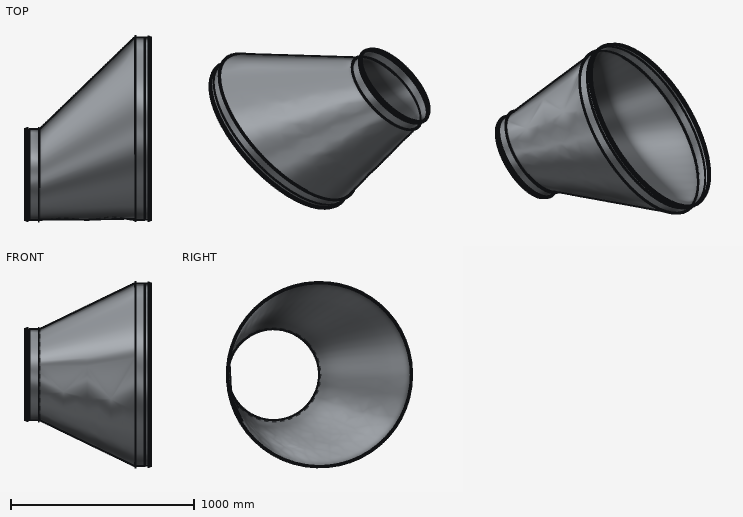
import cadquery as cq


length = 689.0
small_diameter = 498.0
large_diameter = 999.0
wall = 0.5
small_flange_diameter = 513.0
large_flange_diameter = 1013.0

small_collar_length = 76.0
large_collar_length = 85.0
flange_thickness = 1.0
stub_length = 5.0

groove_start = 5.0
small_groove_end = 22.0
large_groove_end = 33.0
groove_slope = 4.0
groove_depth = 2.0

seal_start = 8.0
seal_shoulder = 4.0
seal_lip = 4.0
seal_shoulder_height = 3.0
seal_lip_height = 5.6

small_axis_y = -(large_flange_diameter - small_flange_diameter) / 2
small_seam_x = small_collar_length
large_seam_x = length - large_collar_length


def ring(profile, open_end_x, direction, axis_y):
    """Revolve (distance from open end, radius) points about a duct axis parallel to X."""
    points = [(open_end_x + direction * distance, axis_y + radius) for distance, radius in profile]
    return (
        cq.Workplane("XY")
        .polyline(points)
        .close()
        .revolve(360, (0, axis_y, 0), (1, axis_y, 0))
    )


def collar(diameter, seam, groove_end, flange_diameter, open_end_x, direction, axis_y):
    """Thin duct with a rolled seal groove and a flange at the seam."""
    outer = diameter / 2
    floor = outer - groove_depth
    slope_end = groove_end + groove_slope
    profile = [
        (0, outer),
        (groove_start, outer),
        (groove_start, floor),
        (groove_end, floor),
        (slope_end, outer),
        (seam - flange_thickness, outer),
        (seam - flange_thickness, flange_diameter / 2),
        (seam, flange_diameter / 2),
        (seam, outer - wall),
        (slope_end, outer - wall),
        (groove_end, floor - wall),
        (groove_start - wall, floor - wall),
        (groove_start - wall, outer - wall),
        (0, outer - wall),
    ]
    return ring(profile, open_end_x, direction, axis_y)


def seal(diameter, open_end_x, direction, axis_y):
    """Stepped rubber ring seated on the groove floor."""
    outer = diameter / 2
    floor = outer - groove_depth
    lip_start = seal_start + seal_shoulder
    seal_end = lip_start + seal_lip
    profile = [
        (seal_start, floor),
        (seal_start, outer + seal_shoulder_height),
        (lip_start, outer + seal_shoulder_height),
        (lip_start, outer + seal_lip_height),
        (seal_end, outer + seal_lip_height),
        (seal_end, floor),
    ]
    return ring(profile, open_end_x, direction, axis_y)


def disc(start_x, thickness, radius, axis_y):
    """Round disc with its axis parallel to X."""
    return cq.Workplane("YZ", origin=(start_x, axis_y, 0)).circle(radius).extrude(thickness)


def frustum(inset):
    """Solid cone between two straight stubs, its surface moved inwards by the inset."""
    start_x = small_seam_x + stub_length
    end_x = large_seam_x - stub_length
    small_radius = small_diameter / 2 - inset
    large_radius = large_diameter / 2 - inset
    taper = (
        cq.Workplane("YZ", origin=(start_x, small_axis_y, 0))
        .circle(small_radius)
        .workplane(offset=end_x - start_x)
        .center(-small_axis_y, 0)
        .circle(large_radius)
        .loft(ruled=True)
    )
    return (
        taper
        .union(disc(small_seam_x, stub_length, small_radius, small_axis_y))
        .union(disc(end_x, stub_length, large_radius, 0))
    )


def cone_shell():
    """Eccentric cone with a straight stub and a flange at each end."""
    large_flange_x = large_seam_x - flange_thickness
    small_flange = disc(small_seam_x, flange_thickness, small_flange_diameter / 2, small_axis_y)
    large_flange = disc(large_flange_x, flange_thickness, large_flange_diameter / 2, 0)
    return frustum(0).union(small_flange).union(large_flange).cut(frustum(wall))


cone = cone_shell()
small_collar = collar(
    small_diameter, small_collar_length, small_groove_end, small_flange_diameter,
    0, 1, small_axis_y,
)
large_collar = collar(
    large_diameter, large_collar_length, large_groove_end, large_flange_diameter,
    length, -1, 0,
)
small_seal = seal(small_diameter, 0, 1, small_axis_y)
large_seal = seal(large_diameter, length, -1, 0)

result = cq.Compound.makeCompound([
    cone.val(),
    small_collar.val(),
    large_collar.val(),
    small_seal.val(),
    large_seal.val(),
])